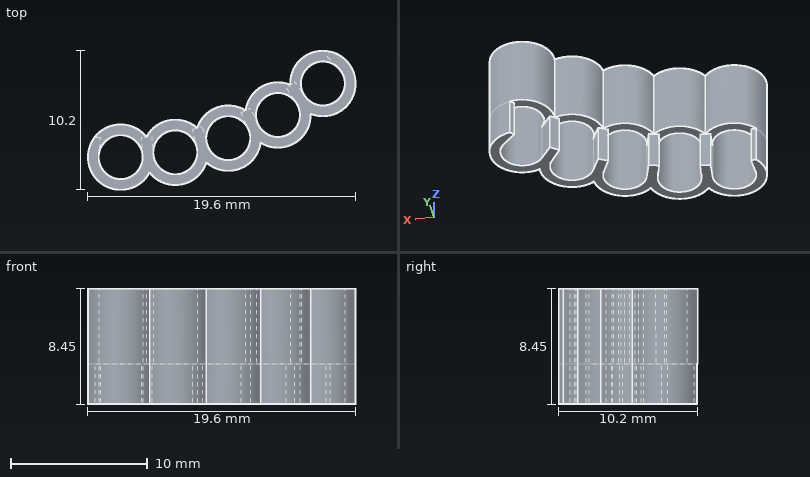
import cadquery as cq
import math

TUBE_COUNT = 5
TUBE_DIAMETER = 4.8
BORE_DIAMETER = 3.2
UPPER_HEIGHT = 5.5
BASE_HEIGHT = 2.95
HEIGHT = BASE_HEIGHT + UPPER_HEIGHT

ARC_RADIUS = 23.0
FIRST_ANGLE = -90.0
ANGLE_STEP = 10.0

BASE_REACH = 1.4
BASE_INNER_RADIUS = ARC_RADIUS - BASE_REACH
OPENING_HALF_ANGLE = math.degrees(math.asin(BORE_DIAMETER / 2 / ARC_RADIUS))
TANGENT_RADIUS = math.sqrt(ARC_RADIUS**2 - (BORE_DIAMETER / 2) ** 2)

TUBE_ANGLES = [FIRST_ANGLE + i * ANGLE_STEP for i in range(TUBE_COUNT)]


def polar(radius, angle):
    """Plan point at a radius and an angle in degrees about the arc centre."""
    return (radius * math.cos(math.radians(angle)), radius * math.sin(math.radians(angle)))


TUBE_CENTRES = [polar(ARC_RADIUS, angle) for angle in TUBE_ANGLES]


def cylinders(diameter, height):
    """One upright cylinder on each tube axis, joined where they overlap."""
    bodies = cq.Workplane("XY")
    for centre in TUBE_CENTRES:
        bodies = bodies.union(cq.Workplane("XY").center(*centre).circle(diameter / 2).extrude(height))
    return bodies


def opening(angle):
    """Wedge from the arc centre to the bore at the given angle."""
    return (
        cq.Workplane("XY")
        .moveTo(0, 0)
        .lineTo(*polar(TANGENT_RADIUS, angle - OPENING_HALF_ANGLE))
        .lineTo(*polar(TANGENT_RADIUS, angle + OPENING_HALF_ANGLE))
        .close()
        .extrude(BASE_HEIGHT)
    )


def make_base():
    """Lower section: tubes trimmed to the inner radius and opened into their bores."""
    base = cylinders(TUBE_DIAMETER, BASE_HEIGHT)
    base = base.cut(cq.Workplane("XY").circle(BASE_INNER_RADIUS).extrude(BASE_HEIGHT))
    for angle in TUBE_ANGLES:
        base = base.cut(opening(angle))
    return base


def make_upper():
    """Upper section: complete tubes standing on the base."""
    return cylinders(TUBE_DIAMETER, UPPER_HEIGHT).translate((0, 0, BASE_HEIGHT))


blank = make_base().union(make_upper(), clean=False)
result = blank.cut(cylinders(BORE_DIAMETER, HEIGHT), clean=False)